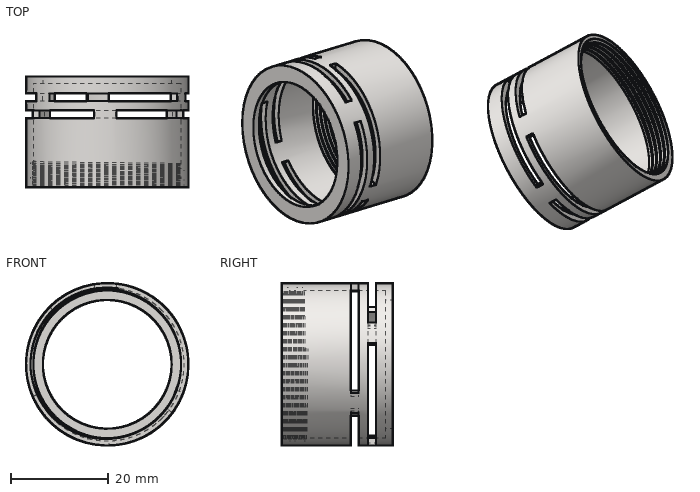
import cadquery as cq
import math

outer_radius = 16.72
bore_radius = 15.2
length = 22.84

lip_radius = 13.22
lip_thickness = 1.5

slots_per_row = 3
slot_width = 1.6
slot_overshoot = 1.0
bridge_angle = 16.0
slot_angle = 360.0 / slots_per_row - bridge_angle
rear_row_start = 17.75
rear_row_bridge = 23.1
front_row_start = 14.22
front_row_bridge = 91.4

thread_pitch = 1.0
thread_depth = 0.6
thread_root_flat = 0.07
thread_turns = 5
thread_half_angle = 30.0
thread_mouth_angle = 168.0
thread_overlap = 0.05


def ring(outer, inner, start, thickness):
    """Ring around the Y axis, from y = start towards +Y."""
    plane = cq.Workplane("XZ", origin=(0, start, 0))
    return plane.circle(outer).circle(inner).extrude(-thickness)


def slot_cutter(start, first_angle):
    """Curved slot with radial ends, cut through the wall only."""
    inner = (bore_radius + lip_radius) / 2
    outer = outer_radius + slot_overshoot

    def polar(radius, angle):
        turn = math.radians(angle)
        return radius * math.cos(turn), radius * math.sin(turn)

    middle_angle = first_angle + slot_angle / 2
    last_angle = first_angle + slot_angle
    return (
        cq.Workplane("XZ", origin=(0, start, 0))
        .moveTo(*polar(inner, first_angle))
        .lineTo(*polar(outer, first_angle))
        .threePointArc(polar(outer, middle_angle), polar(outer, last_angle))
        .lineTo(*polar(inner, last_angle))
        .threePointArc(polar(inner, middle_angle), polar(inner, first_angle))
        .close()
        .extrude(-slot_width)
    )


def cut_slot_row(body, start, bridge_centre):
    for index in range(slots_per_row):
        first_angle = bridge_centre + bridge_angle / 2 + index * 360.0 / slots_per_row
        body = body.cut(slot_cutter(start, first_angle))
    return body


def thread_cutter():
    """V groove swept along a right-hand helix that runs in from outside the end face."""
    flank_slope = math.tan(math.radians(thread_half_angle))
    half_root = thread_root_flat / 2
    half_base = half_root + (thread_depth + thread_overlap) * flank_slope
    helix_height = (thread_turns + 1) * thread_pitch
    root_radius = bore_radius + thread_depth
    base_radius = bore_radius - thread_overlap
    helix = cq.Wire.makeHelix(thread_pitch, helix_height, bore_radius)
    groove = (
        cq.Workplane("XZ")
        .moveTo(base_radius, -half_base)
        .lineTo(root_radius, -half_root)
        .lineTo(root_radius, half_root)
        .lineTo(base_radius, half_base)
        .close()
        .sweep(cq.Workplane(helix), isFrenet=True)
    )
    return (
        groove.translate((0, 0, -thread_pitch))
        .rotate((0, 0, 0), (1, 0, 0), -90)
        .rotate((0, 0, 0), (0, 1, 0), -thread_mouth_angle)
    )


sleeve = ring(outer_radius, bore_radius, 0, length)
sleeve = sleeve.union(ring(outer_radius, lip_radius, length - lip_thickness, lip_thickness))
sleeve = cut_slot_row(sleeve, rear_row_start, rear_row_bridge)
sleeve = cut_slot_row(sleeve, front_row_start, front_row_bridge)
result = sleeve.cut(thread_cutter())